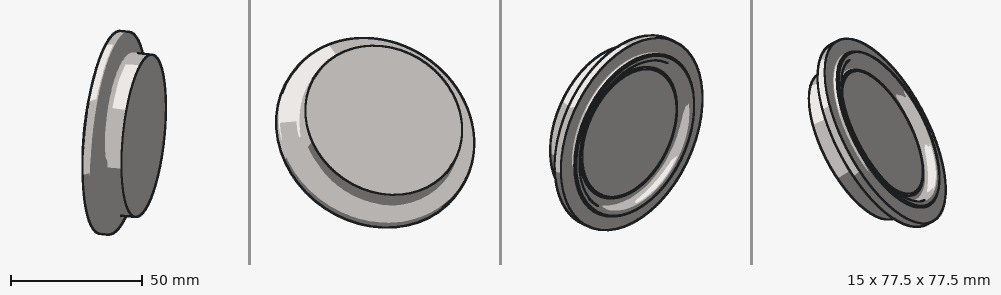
import cadquery as cq
import math

total_length = 15.0

flange_radius = 77.5 / 2
flange_face_x = 1.85
flange_rim_end_x = 5.35
flange_rim_round = 0.8
cone_angle = 20.0

collar_radius = 62 / 2
collar_root_round = 2.0

ring_radius = 65.6 / 2
ring_front_chamfer = 0.55
ring_root_round = 0.5

floor_depth = 3.1
floor_radius = 25.7
floor_round_width = 0.8
floor_round_angle = 50.0
groove_bottom_radius = 27.9
groove_depth = 3.9
recess_radius = 30.15
recess_lip_round = 0.7

cone_end_x = flange_rim_end_x + (flange_radius - collar_radius) * math.tan(math.radians(cone_angle))


def make_body():
    """Front ring, flange with conical back, and collar, with sharp corners."""
    return (
        cq.Workplane("XY")
        .lineTo(0, ring_radius)
        .lineTo(flange_face_x, ring_radius)
        .lineTo(flange_face_x, flange_radius)
        .lineTo(flange_rim_end_x, flange_radius)
        .lineTo(cone_end_x, collar_radius)
        .lineTo(total_length, collar_radius)
        .lineTo(total_length, 0)
        .close()
        .revolve(360, (0, 0), (1, 0))
    )


def circle_at(x, radius):
    """Select the circular edge centred on the X axis with the given position and radius."""
    margin = 0.01

    def box(half_side):
        return cq.selectors.BoxSelector(
            (x - margin, -half_side, -half_side), (x + margin, half_side, half_side), boundingbox=True
        )

    return box(radius + margin) - box(radius - margin)


def finish_edges(body):
    """Chamfer the front of the ring and round the outer corners of ring, flange and collar."""
    body = body.edges(circle_at(0, ring_radius)).chamfer(ring_front_chamfer)
    rounded_corners = (
        (flange_face_x, ring_radius, ring_root_round),
        (flange_rim_end_x, flange_radius, flange_rim_round),
        (cone_end_x, collar_radius, collar_root_round),
    )
    for x, radius, size in rounded_corners:
        body = body.edges(circle_at(x, radius)).fillet(size)
    return body


def make_recess():
    """Solid filling the front recess: flat floor, rounded floor edge, smooth groove, rounded lip."""
    slope = math.radians(floor_round_angle)
    floor_round = floor_round_width / math.sin(slope)
    groove_inner_edge = (floor_depth + floor_round * (1 - math.cos(slope)), floor_radius + floor_round_width)
    groove_bottom = (groove_depth, groove_bottom_radius)
    groove_outer_edge = (recess_lip_round, recess_radius)
    return (
        cq.Workplane("XY")
        .lineTo(floor_depth, 0)
        .lineTo(floor_depth, floor_radius)
        .radiusArc(groove_inner_edge, -floor_round)
        .spline(
            [groove_bottom, groove_outer_edge],
            tangents=[(math.sin(slope), math.cos(slope)), (0, 1), (-1, 0)],
            includeCurrent=True,
        )
        .radiusArc((0, recess_radius + recess_lip_round), recess_lip_round)
        .close()
        .revolve(360, (0, 0), (1, 0))
    )


result = finish_edges(make_body()).cut(make_recess())